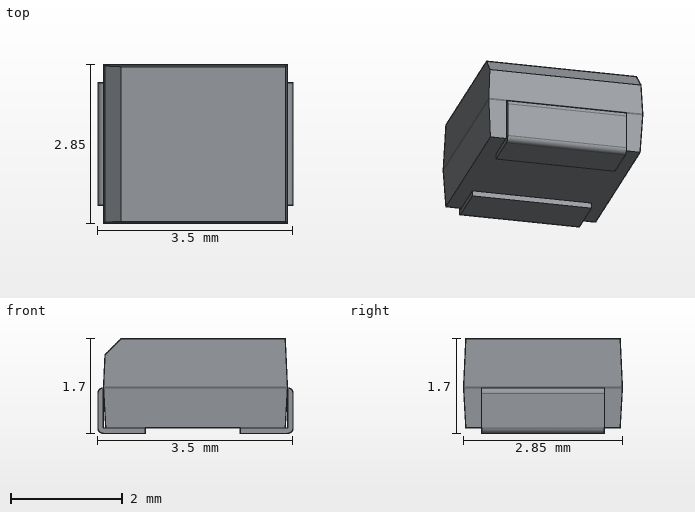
import cadquery as cq
import math

overall_length = 3.5
overall_width = 2.85
overall_height = 1.7

terminal_thickness = 0.1
terminal_width = 2.2
terminal_height = 0.82
left_foot_length = 0.85
right_foot_length = 0.95
terminal_bend_radius = terminal_thickness

housing_length = overall_length - 2 * terminal_thickness
housing_width = overall_width
housing_bottom = terminal_thickness
band_bottom = terminal_height
band_height = 0.015
band_top = band_bottom + band_height
draft_inset = 0.04
polarity_chamfer = 0.275


def drafted_block(start_height, height):
    """Block that narrows by the draft inset per side; a negative height goes down."""
    draft_angle = math.degrees(math.atan(draft_inset / abs(height)))
    block = (
        cq.Workplane("XY")
        .rect(housing_length, housing_width)
        .extrude(abs(height), taper=draft_angle)
    )
    if height < 0:
        block = block.mirror("XY")
    return block.translate((0, 0, start_height))


def make_housing():
    """Moulded housing with the polarity chamfer along its top -X edge."""
    band = (
        cq.Workplane("XY", origin=(0, 0, band_bottom))
        .rect(housing_length, housing_width)
        .extrude(band_height)
    )
    upper = drafted_block(band_top, overall_height - band_top)
    lower = drafted_block(band_bottom, housing_bottom - band_bottom)

    top_edge_x = -housing_length / 2 + draft_inset
    cutter = (
        cq.Workplane("XZ")
        .moveTo(top_edge_x + polarity_chamfer, overall_height)
        .lineTo(top_edge_x - polarity_chamfer, overall_height)
        .lineTo(top_edge_x - polarity_chamfer, overall_height - 2 * polarity_chamfer)
        .close()
        .extrude(housing_width / 2, both=True)
    )
    return band.union(upper).union(lower).cut(cutter)


def make_terminal(side, foot_length):
    """L-shaped terminal on the -X end (side = -1) or the +X end (side = 1)."""
    outer_x = side * overall_length / 2
    inner_x = side * housing_length / 2
    foot_end_x = side * (overall_length / 2 - foot_length)
    bend_x = side * (overall_length / 2 - terminal_bend_radius)
    bend_offset = terminal_bend_radius * math.sqrt(0.5)
    bend_mid_x = bend_x + side * bend_offset
    top_bend_z = terminal_height - terminal_bend_radius

    return (
        cq.Workplane("XZ")
        .moveTo(foot_end_x, 0)
        .lineTo(bend_x, 0)
        .threePointArc(
            (bend_mid_x, terminal_bend_radius - bend_offset),
            (outer_x, terminal_bend_radius),
        )
        .lineTo(outer_x, top_bend_z)
        .threePointArc((bend_mid_x, top_bend_z + bend_offset), (bend_x, terminal_height))
        .lineTo(inner_x, terminal_thickness)
        .lineTo(foot_end_x, terminal_thickness)
        .close()
        .extrude(terminal_width / 2, both=True)
    )


housing = make_housing()
terminals = [
    make_terminal(side, foot_length)
    for side, foot_length in ((-1, left_foot_length), (1, right_foot_length))
]

result = cq.Compound.makeCompound([housing.val()] + [terminal.val() for terminal in terminals])